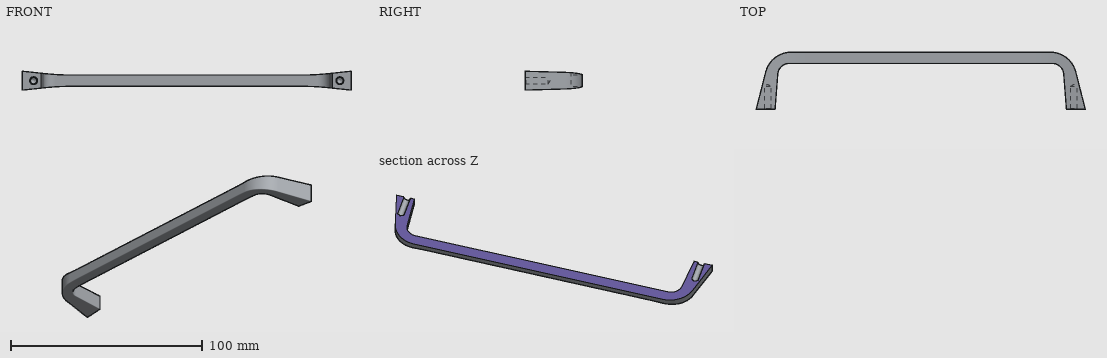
import cadquery as cq
import math

LENGTH = 172.0
DEPTH = 30.0
FOOT_HEIGHT = 10.0

FOOT_WIDTH = 10.0
GRIP_THICKNESS = 6.0
OUTER_LEAN = 14.3
INNER_LEAN = 4.4
OUTER_BEND_RADIUS = 14.0
INNER_BEND_RADIUS = 5.8

GRIP_HEIGHT = 6.0
TAPER_LENGTH = 19.0
BLEND_RADIUS = 125.5

EDGE_RADIUS = 0.3

HOLE_DIAMETER = 3.3
HOLE_DEPTH = 12.0
HOLE_INSET = 6.0
COUNTERSINK_DIAMETER = 4.1
DRILL_POINT_ANGLE = 118.0

HALF_LENGTH = LENGTH / 2


def rounded_bow(half_width, lean, top, bend_radius):
    """Solid filling a bow that has leaning sides and two rounded bends."""
    top_half_width = half_width - top * math.tan(math.radians(lean))
    return (
        cq.Workplane("XY")
        .polyline([(-half_width, 0), (half_width, 0), (top_half_width, top), (-top_half_width, top)])
        .close()
        .extrude(FOOT_HEIGHT, both=True)
        .edges("|Z and >Y")
        .fillet(bend_radius)
    )


def height_envelope():
    """Prism along Y whose height tapers from the foot ends to the grip."""
    grip_half = GRIP_HEIGHT / 2
    slope = (FOOT_HEIGHT - GRIP_HEIGHT) / 2 / TAPER_LENGTH
    foot_half = FOOT_HEIGHT / 2 + slope * EDGE_RADIUS
    taper_end = HALF_LENGTH - TAPER_LENGTH
    upper = [(-HALF_LENGTH, foot_half), (-taper_end, grip_half), (taper_end, grip_half), (HALF_LENGTH, foot_half)]
    lower = [(x, -z) for x, z in reversed(upper)]
    prism = cq.Workplane("XZ").polyline(upper + lower).close().extrude(-DEPTH)
    around_grip = cq.selectors.BoxSelector(
        (-HALF_LENGTH + 1.7, -1.7, -FOOT_HEIGHT),
        (HALF_LENGTH - 1.7, DEPTH + 1.7, FOOT_HEIGHT),
    )
    return prism.edges("|Y").edges(around_grip).fillet(BLEND_RADIUS)


def runs_across(edge):
    """True for a line parallel to Y, where two faces of the height profile meet."""
    return edge.BoundingBox().xlen < 0.02


def screw_hole(x):
    """Countersunk blind hole with a drill point, rising from a foot face."""
    radius = HOLE_DIAMETER / 2
    countersink_radius = COUNTERSINK_DIAMETER / 2
    countersink_depth = countersink_radius - radius
    point_depth = radius / math.tan(math.radians(DRILL_POINT_ANGLE / 2))
    profile = [
        (0, 0),
        (countersink_radius, 0),
        (radius, countersink_depth),
        (radius, HOLE_DEPTH),
        (0, HOLE_DEPTH + point_depth),
    ]
    hole = cq.Workplane("XY").polyline(profile).close().revolve(360, (0, 0), (0, 1))
    return hole.translate((x, 0, 0))


outer_bow = rounded_bow(HALF_LENGTH, OUTER_LEAN, DEPTH, OUTER_BEND_RADIUS)
inner_bow = rounded_bow(HALF_LENGTH - FOOT_WIDTH, INNER_LEAN, DEPTH - GRIP_THICKNESS, INNER_BEND_RADIUS)
body = outer_bow.cut(inner_bow).intersect(height_envelope())

long_edges = body.edges("not(|Z or <Y)").filter(lambda edge: not runs_across(edge))
result = long_edges.fillet(EDGE_RADIUS)

hole_x = HALF_LENGTH - HOLE_INSET
for x in (-hole_x, hole_x):
    result = result.cut(screw_hole(x))